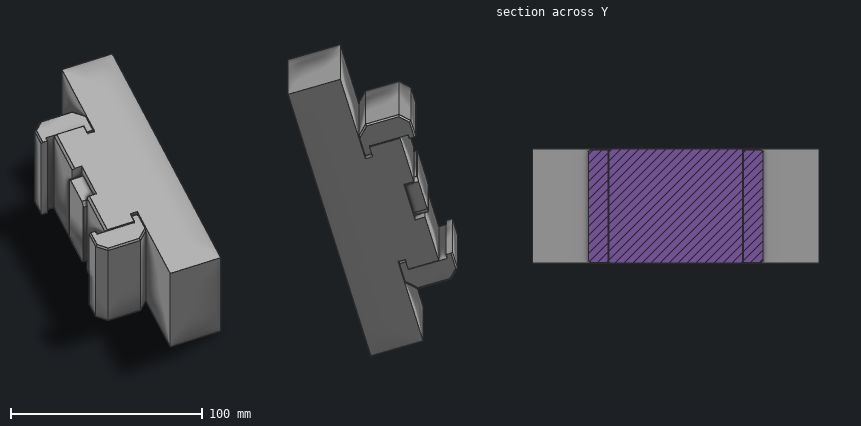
import cadquery as cq

block_width = 150.0
block_height = 60.0
block_depth = 28.6

rail_half_width = 35.0
neck_half_width = 29.5
rail_front = 49.2
rail_back = 32.5
rail_chamfer_depth = 1.4
rail_chamfer_height = 0.9

overall_depth = 57.3
jaw_depth = 28.3
jaw_back = overall_depth - jaw_depth
jaw_outer = 47.25
jaw_inner = 35.4
jaw_finger_tip = 31.0
jaw_hook_tip = 33.25
jaw_hook_thickness = 3.6
jaw_corner = 5.0
jaw_end_gap = 0.5
jaw_edge_chamfer = 0.9
selection_margin = 1.0

slot_width = 20.3
slot_depth = 5.4
slot_floor = rail_front - slot_depth
key_height = 49.0
key_thickness = 7.3
key_corner = 2.3
key_edge_chamfer = 0.4


def box(x_min, x_max, depth_min, depth_max, z_min, z_max):
    """Box between two X limits, two depths in front of the back face and two Z limits."""
    size = (x_max - x_min, depth_max - depth_min, z_max - z_min)
    return cq.Workplane("XY").box(*size, centered=False).translate((x_min, -depth_max, z_min))


def make_body():
    """Block with its T-rail, chamfered on the rail's upper front edge and slotted."""
    half_block = block_width / 2
    outline = [
        (-half_block, 0),
        (half_block, 0),
        (half_block, -block_depth),
        (neck_half_width, -block_depth),
        (neck_half_width, -rail_back),
        (rail_half_width, -rail_back),
        (rail_half_width, -rail_front),
        (-rail_half_width, -rail_front),
        (-rail_half_width, -rail_back),
        (-neck_half_width, -rail_back),
        (-neck_half_width, -block_depth),
        (-half_block, -block_depth),
    ]
    body = cq.Workplane("XY").polyline(outline).close().extrude(block_height)
    edge_cut = (
        cq.Workplane("YZ")
        .polyline([
            (-rail_front, block_height),
            (-rail_front + rail_chamfer_depth, block_height),
            (-rail_front, block_height - rail_chamfer_height),
        ])
        .close()
        .extrude(rail_half_width, both=True)
    )
    slot = box(-slot_width / 2, slot_width / 2, slot_floor, rail_front, 0, block_height)
    return body.cut(edge_cut).cut(slot)


def make_jaw():
    """Right-hand jaw, its outer edges chamfered at both ends."""
    outline = [
        (jaw_finger_tip, -jaw_back),
        (jaw_outer - jaw_corner, -jaw_back),
        (jaw_outer, -jaw_back - jaw_corner),
        (jaw_outer, -overall_depth + jaw_corner),
        (jaw_outer - jaw_corner, -overall_depth),
        (jaw_hook_tip, -overall_depth),
        (jaw_hook_tip, -overall_depth + jaw_hook_thickness),
        (jaw_inner, -overall_depth + jaw_hook_thickness),
        (jaw_inner, -rail_back),
        (jaw_finger_tip, -rail_back),
    ]
    jaw_height = block_height - 2 * jaw_end_gap
    jaw = cq.Workplane("XY").polyline(outline).close().extrude(jaw_height)
    outer_side = cq.selectors.BoxSelector(
        (jaw_outer - jaw_corner, -overall_depth, -selection_margin),
        (jaw_outer + selection_margin, -jaw_back - selection_margin, jaw_height + selection_margin),
    )
    front_side = cq.selectors.BoxSelector(
        (jaw_hook_tip, -overall_depth - selection_margin, -selection_margin),
        (jaw_outer, -overall_depth + selection_margin, jaw_height + selection_margin),
    )
    end_edges = jaw.faces("<Z or >Z").edges(outer_side + front_side)
    return end_edges.chamfer(jaw_edge_chamfer).translate((0, 0, jaw_end_gap))


def make_key():
    """Key plate with chamfered corners and front side edges, standing on the slot floor."""
    return (
        box(
            -slot_width / 2, slot_width / 2,
            slot_floor, slot_floor + key_thickness,
            (block_height - key_height) / 2, (block_height + key_height) / 2,
        )
        .edges("|Y")
        .chamfer(key_corner)
        .faces("<Y")
        .edges("|Z")
        .chamfer(key_edge_chamfer)
    )


right_jaw = make_jaw()
left_jaw = right_jaw.mirror("YZ")
result = make_body().union(right_jaw).union(left_jaw).union(make_key())